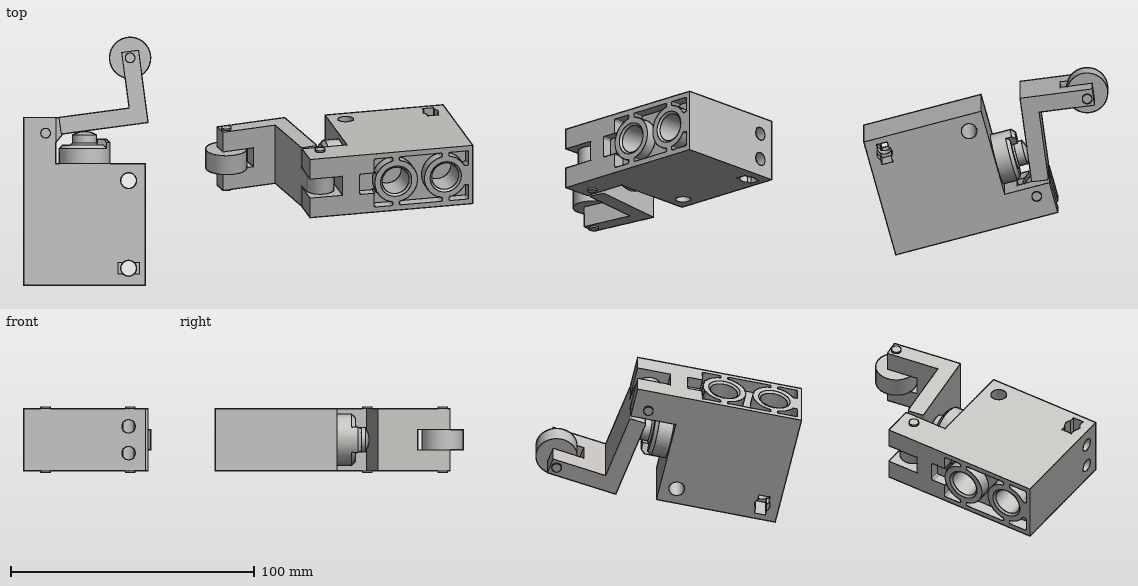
import cadquery as cq
import math


OVERLAP = 0.5

body_length_x = 50.0
body_length_y = 50.0
body_thickness = 25.5
half_thickness = body_thickness / 2
arm_width = 13.2
arm_top_y = 69.0
fork_gap = 8.3
arm_slot_bottom_y = 55.2

mount_hole_diameter = 6.4
mount_hole_x = 43.1
mount_hole_low_y = 7.0
mount_hole_high_y = 43.0
nut_slot_length = 8.8
nut_slot_width = 4.6
nut_slot_depth = 10.0
screw_hole_diameter = 5.5
screw_hole_offset_z = 5.5

port_diameter = 11.45
port_mouth_diameter = 13.2
port_mouth_angle = 45.0
port_depth = 14.0
port_low_y = 11.5
port_high_y = 32.5
port_ring_radius = 9.0
pocket_depth = 5.0
pocket_low_y = 1.8
pocket_high_y = 41.8
pocket_half_height = 10.55
pocket_corner_radius = 0.7
pocket_cross_rib_height = 8.4
port_rib_width = 2.8
key_pocket_depth = 4.4
key_pocket_low_y = 40.8
key_pocket_high_y = 48.0
key_pocket_height = 8.9

pin_diameter = 4.0
pin_length = 27.0
pivot_x = 9.0
pivot_y = 62.5
lever_tilt = 7.6
lever_bar_width = 7.0
hub_diameter = 11.45
lever_top_v = hub_diameter / 2
lever_bottom_v = lever_top_v - lever_bar_width
lever_start_u = 6.3
lever_inner_u = 35.35
lever_outer_u = lever_inner_u + lever_bar_width
lever_tip_v = 28.7
lever_web_end_v = 15.3
lever_end_radius = 0.7

roller_diameter = 17.0
roller_x = 43.72
roller_y = 93.44

cap_x = 25.0
cap_diameter = 21.0
cap_radius = cap_diameter / 2
cap_chamfer = 1.5
cap_top_y = 57.6
cap_raised_top_y = 60.1
cap_raised_angle = 60.0
collar_radius = 6.0
collar_top_y = 58.4
plunger_diameter = 10.0
plunger_shoulder_y = 61.7
plunger_top_y = 63.2


def block(x_range, y_range, z_range):
    """Axis-aligned box between the given limits."""
    size = [high - low for low, high in (x_range, y_range, z_range)]
    corner = (x_range[0], y_range[0], z_range[0])
    return cq.Workplane("XY").box(*size, centered=False).translate(corner)


def disc(x, y, diameter, length):
    """Cylinder along Z, centred on the mid-plane."""
    return cq.Workplane("XY").center(x, y).circle(diameter / 2).extrude(length / 2, both=True)


def side_cylinder(y, radius, depth):
    """Cylinder going into the body from the -X face."""
    return cq.Workplane("YZ").center(y, 0).circle(radius).extrude(depth)


def body_blank():
    outline = [
        (0, 0),
        (body_length_x, 0),
        (body_length_x, body_length_y),
        (arm_width, body_length_y),
        (arm_width, arm_top_y),
        (0, arm_top_y),
    ]
    blank = cq.Workplane("XY").polyline(outline).close().extrude(half_thickness, both=True)
    slot = block((0, arm_width), (arm_slot_bottom_y, arm_top_y), (-fork_gap / 2, fork_gap / 2))
    return blank.cut(slot)


def mounting_cutter():
    """Two through holes, a nut slot at each end of the lower one, and two screw holes into it."""
    cutter = disc(mount_hole_x, mount_hole_low_y, mount_hole_diameter, body_thickness)
    cutter = cutter.union(disc(mount_hole_x, mount_hole_high_y, mount_hole_diameter, body_thickness))
    slot_floor_z = half_thickness - nut_slot_depth
    slot_x = (mount_hole_x - nut_slot_length / 2, mount_hole_x + nut_slot_length / 2)
    slot_y = (mount_hole_low_y - nut_slot_width / 2, mount_hole_low_y + nut_slot_width / 2)
    for side in (-1, 1):
        slot_z = sorted((side * slot_floor_z, side * half_thickness))
        screw_hole = (
            cq.Workplane("XZ")
            .center(mount_hole_x, side * screw_hole_offset_z)
            .circle(screw_hole_diameter / 2)
            .extrude(-mount_hole_low_y)
        )
        cutter = cutter.union(block(slot_x, slot_y, slot_z)).union(screw_hole)
    return cutter


def pocket_cutter():
    """Framed pockets around the two port rings, split by ribs, with rounded corners."""
    depth_range = (0, pocket_depth)
    height_range = (-pocket_half_height, pocket_half_height)
    pockets = block(depth_range, (pocket_low_y, pocket_high_y), height_range)
    for port_y in (port_low_y, port_high_y):
        rib_range = (port_y - port_rib_width / 2, port_y + port_rib_width / 2)
        pockets = pockets.cut(side_cylinder(port_y, port_ring_radius, pocket_depth))
        pockets = pockets.cut(block(depth_range, rib_range, height_range))
    cross_rib_range = (-pocket_cross_rib_height / 2, pocket_cross_rib_height / 2)
    for rib_range in ((pocket_low_y, port_low_y), (port_high_y, pocket_high_y)):
        pockets = pockets.cut(block(depth_range, rib_range, cross_rib_range))
    return pockets.edges("|X").fillet(pocket_corner_radius)


def key_pocket_cutter():
    """Rounded rectangular pocket that ends against the upper port ring."""
    pocket = block(
        (0, key_pocket_depth),
        (key_pocket_low_y, key_pocket_high_y),
        (-key_pocket_height / 2, key_pocket_height / 2),
    )
    pocket = pocket.edges("|X").fillet(pocket_corner_radius)
    return pocket.cut(side_cylinder(port_high_y, port_ring_radius, key_pocket_depth))


def port_cutter(port_y):
    """Blind port with a chamfered mouth."""
    mouth_depth = (port_mouth_diameter - port_diameter) / 2
    mouth_profile = cq.Workplane("YZ").center(port_y, 0).circle(port_mouth_diameter / 2)
    mouth = mouth_profile.extrude(mouth_depth, taper=port_mouth_angle)
    bore = side_cylinder(port_y, port_diameter / 2, port_depth)
    return bore.union(mouth)


def lever_web():
    """Plate between the hub and the bar, tangent to the hub above and below."""
    hub_radius = hub_diameter / 2
    web_u = lever_start_u + lever_end_radius
    joint_distance = math.hypot(web_u, lever_bottom_v)
    joint_angle = math.atan2(lever_bottom_v, web_u)
    tangent_angle = joint_angle - math.acos(hub_radius / joint_distance)
    outline = [
        (0, 0),
        (hub_radius * math.cos(tangent_angle), hub_radius * math.sin(tangent_angle)),
        (web_u, lever_bottom_v),
        (web_u, lever_top_v),
        (0, lever_top_v),
    ]
    return cq.Workplane("XY").polyline(outline).close().extrude(fork_gap / 2, both=True)


def lever():
    """L-shaped lever with a pivot hub and a forked end for the roller."""
    outline = [
        (lever_start_u, lever_bottom_v),
        (lever_outer_u, lever_bottom_v),
        (lever_outer_u, lever_tip_v),
        (lever_inner_u, lever_tip_v),
        (lever_inner_u, lever_top_v),
        (lever_start_u, lever_top_v),
    ]
    bar = cq.Workplane("XY").polyline(outline).close().extrude(half_thickness, both=True)
    bar = bar.faces("<X").edges("|Z").fillet(lever_end_radius)
    roller_slot = block(
        (lever_inner_u, lever_outer_u),
        (lever_web_end_v, lever_tip_v),
        (-fork_gap / 2, fork_gap / 2),
    )
    web = lever_web()
    hub = disc(0, 0, hub_diameter, fork_gap)
    flat = bar.cut(roller_slot).union(web).union(hub)
    return flat.rotate((0, 0, 0), (0, 0, 1), lever_tilt).translate((pivot_x, pivot_y, 0))


def turned_about_cap_axis(profile, angle=360.0):
    """Revolve a closed XY profile, drawn from the cap axis outwards, about that axis."""
    return profile.close().revolve(angle, (0, 0, 0), (0, 1, 0))


def chamfered_cap(top_y, angle):
    base_y = body_length_y - OVERLAP
    profile = (
        cq.Workplane("XY")
        .moveTo(0, base_y)
        .lineTo(cap_radius, base_y)
        .lineTo(cap_radius, top_y - cap_chamfer)
        .lineTo(cap_radius - cap_chamfer, top_y)
        .lineTo(0, top_y)
    )
    return turned_about_cap_axis(profile, angle)


def cap_and_plunger():
    """Round cap with one raised sector on its +X side, a conical collar and a domed plunger."""
    plunger_radius = plunger_diameter / 2
    dome_height = plunger_top_y - plunger_shoulder_y
    dome_radius = (plunger_radius**2 + dome_height**2) / (2 * dome_height)
    half_arc = math.asin(plunger_radius / dome_radius) / 2
    dome_centre_y = plunger_top_y - dome_radius
    dome_middle = (
        dome_radius * math.sin(half_arc),
        dome_centre_y + dome_radius * math.cos(half_arc),
    )

    raised = chamfered_cap(cap_raised_top_y, cap_raised_angle)
    raised = raised.rotate((0, 0, 0), (0, 1, 0), -cap_raised_angle / 2)
    collar_clearance = cq.Workplane("XZ").circle(collar_radius).extrude(cap_raised_top_y - cap_top_y)
    collar_clearance = collar_clearance.translate((0, cap_raised_top_y, 0))
    raised = raised.cut(collar_clearance)

    plunger = turned_about_cap_axis(
        cq.Workplane("XY")
        .moveTo(0, cap_top_y - OVERLAP)
        .lineTo(collar_radius, cap_top_y - OVERLAP)
        .lineTo(collar_radius, cap_top_y)
        .lineTo(plunger_radius, collar_top_y)
        .lineTo(plunger_radius, plunger_shoulder_y)
        .threePointArc(dome_middle, (0, plunger_top_y))
    )
    return chamfered_cap(cap_top_y, 360.0).union(raised).union(plunger).translate((cap_x, 0, 0))


body = body_blank().cut(mounting_cutter()).cut(pocket_cutter()).cut(key_pocket_cutter())
for port_y in (port_low_y, port_high_y):
    body = body.cut(port_cutter(port_y))

result = body.union(cap_and_plunger()).union(lever())
result = result.union(disc(roller_x, roller_y, roller_diameter, fork_gap))
for pin_x, pin_y in ((pivot_x, pivot_y), (roller_x, roller_y)):
    result = result.union(disc(pin_x, pin_y, pin_diameter, pin_length))